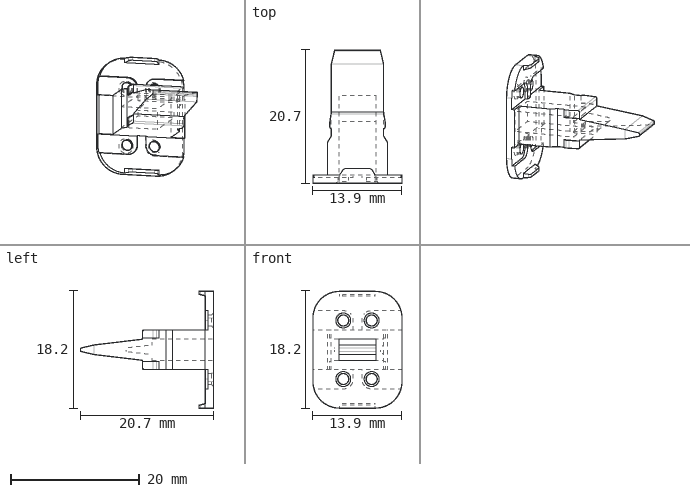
import cadquery as cq
import math


FLANGE_WIDTH = 13.9
FLANGE_HEIGHT = 18.2
FLANGE_THICKNESS = 1.3
FLANGE_CORNER_RADIUS = 4.18

POCKET_FLOOR_Y = 0.87
POCKET_RADIUS = 1.53

TAB_END_Y = 2.3
TAB_END_HALF_WIDTH = 2.13
TAB_CORNER_RADIUS = 0.62
TAB_ROOT_HEIGHT = 0.72
TAB_END_HEIGHT = 0.48

HOLE_DIAMETER = 1.68
COUNTERSINK_DIAMETER = 2.32
COUNTERSINK_ANGLE = 90
HOLE_SPACING_X = 4.4
HOLE_SPACING_Z = 9.1

BLOCK_WIDTH = 9.35
BLOCK_HEIGHT = 6.17
BLOCK_END_Y = 11.05
BLOCK_EDGE_RADIUS = 0.27
NECK_WIDTH = 8.15
SHOULDER_START_Y = 6.38
SHOULDER_END_Y = 7.37

RIDGE_RISE = 0.27
RIDGE_START_Y = 8.45
RIDGE_CREST_START_Y = 8.9
RIDGE_CREST_END_Y = 9.38
RIDGE_INNER_Z = 1.82

TONGUE_ROOT_HEIGHT = 3.31
TONGUE_BEVEL_Y = 18.55
TONGUE_BEVEL_HEIGHT = 1.53
TIP_Y = 20.7
TIP_WIDTH = 7.12
TIP_HEIGHT = 0.54
TIP_EDGE_RADIUS = 0.2

CAVITY_WIDTH = 5.8
CAVITY_HEIGHT = 3.27
CAVITY_SLOT_HEIGHT = 1.51
CAVITY_END_RADIUS = 0.31


def box_between(x, y, z):
    """Box spanning the (low, high) pair given for each axis."""
    size = [high - low for low, high in (x, y, z)]
    return cq.Workplane("XY").box(*size, centered=False).translate((x[0], y[0], z[0]))


def on_both_sides(solid, mirror_plane):
    return solid.union(solid.mirror(mirror_plane))


def make_flange():
    return (
        cq.Workplane("XY")
        .box(FLANGE_WIDTH, FLANGE_THICKNESS, FLANGE_HEIGHT)
        .translate((0, FLANGE_THICKNESS / 2, 0))
        .edges("|Y")
        .fillet(FLANGE_CORNER_RADIUS)
    )


def make_pockets():
    """Four pockets running from the block outwards, each rounded concentrically with its hole."""
    hole_x = HOLE_SPACING_X / 2
    hole_z = HOLE_SPACING_Z / 2
    inner_x = hole_x - POCKET_RADIUS
    outer_x = FLANGE_WIDTH / 2
    block_z = BLOCK_HEIGHT / 2
    diagonal = POCKET_RADIUS * math.sqrt(0.5)
    pocket = (
        cq.Workplane("XZ", origin=(0, POCKET_FLOOR_Y, 0))
        .moveTo(outer_x, block_z)
        .lineTo(inner_x, block_z)
        .lineTo(inner_x, hole_z)
        .threePointArc((hole_x - diagonal, hole_z + diagonal), (hole_x, hole_z + POCKET_RADIUS))
        .lineTo(outer_x, hole_z + POCKET_RADIUS)
        .close()
        .extrude(POCKET_FLOOR_Y - FLANGE_THICKNESS)
    )
    return on_both_sides(on_both_sides(pocket, "YZ"), "XY")


def make_tabs():
    """Trapezoidal tabs, flush with the flange edges and thinning towards their ends."""
    root_half_width = FLANGE_WIDTH / 2 - FLANGE_CORNER_RADIUS
    outer_z = FLANGE_HEIGHT / 2
    plan = (
        cq.Workplane("XY")
        .polyline([
            (-root_half_width, 0),
            (root_half_width, 0),
            (root_half_width, FLANGE_THICKNESS),
            (TAB_END_HALF_WIDTH, TAB_END_Y),
            (-TAB_END_HALF_WIDTH, TAB_END_Y),
            (-root_half_width, FLANGE_THICKNESS),
        ])
        .close()
        .extrude(outer_z)
    )
    plan = plan.edges("|Z and >Y").fillet(TAB_CORNER_RADIUS)
    section = (
        cq.Workplane("YZ")
        .polyline([
            (0, outer_z),
            (TAB_END_Y, outer_z),
            (TAB_END_Y, outer_z - TAB_END_HEIGHT),
            (FLANGE_THICKNESS, outer_z - TAB_ROOT_HEIGHT),
            (0, outer_z - TAB_ROOT_HEIGHT),
        ])
        .close()
        .extrude(root_half_width, both=True)
    )
    return on_both_sides(plan.intersect(section), "XY")


def make_ridges():
    """Four snap ridges: rounded towards the flange, a flat crest, a long slope towards the tip."""
    base_x = NECK_WIDTH / 2
    crest_x = base_x + RIDGE_RISE
    run = RIDGE_CREST_START_Y - RIDGE_START_Y
    radius = (RIDGE_RISE**2 + run**2) / (2 * RIDGE_RISE)
    half_run = run / 2
    arc_middle_x = crest_x - radius + math.sqrt(radius**2 - half_run**2)
    ridge = (
        cq.Workplane("XY", origin=(0, 0, RIDGE_INNER_Z))
        .moveTo(0, RIDGE_START_Y)
        .lineTo(base_x, RIDGE_START_Y)
        .threePointArc((arc_middle_x, RIDGE_CREST_START_Y - half_run), (crest_x, RIDGE_CREST_START_Y))
        .lineTo(crest_x, RIDGE_CREST_END_Y)
        .lineTo(base_x, BLOCK_END_Y)
        .lineTo(0, BLOCK_END_Y)
        .close()
        .extrude(BLOCK_HEIGHT / 2 - RIDGE_INNER_Z)
    )
    return on_both_sides(on_both_sides(ridge, "YZ"), "XY")


def make_block():
    wide_x = BLOCK_WIDTH / 2
    neck_x = NECK_WIDTH / 2
    body = (
        cq.Workplane("XY")
        .polyline([
            (-wide_x, 0),
            (wide_x, 0),
            (wide_x, SHOULDER_START_Y),
            (neck_x, SHOULDER_END_Y),
            (neck_x, BLOCK_END_Y),
            (-neck_x, BLOCK_END_Y),
            (-neck_x, SHOULDER_END_Y),
            (-wide_x, SHOULDER_START_Y),
        ])
        .close()
        .extrude(BLOCK_HEIGHT / 2, both=True)
    )
    rounded_bar = (
        box_between((-wide_x, wide_x), (0, BLOCK_END_Y), (-BLOCK_HEIGHT / 2, BLOCK_HEIGHT / 2))
        .edges("|X and >Y")
        .fillet(BLOCK_EDGE_RADIUS)
    )
    return body.union(make_ridges()).intersect(rounded_bar)


def make_tongue():
    """Wedge running back to the flange inside the block, bevelled at its tip."""
    root_z = TONGUE_ROOT_HEIGHT / 2
    bevel_z = TONGUE_BEVEL_HEIGHT / 2
    tip_z = TIP_HEIGHT / 2
    root_x = NECK_WIDTH / 2
    tip_x = TIP_WIDTH / 2
    side_profile = (
        cq.Workplane("YZ")
        .polyline([
            (0, -root_z),
            (BLOCK_END_Y, -root_z),
            (TONGUE_BEVEL_Y, -bevel_z),
            (TIP_Y, -tip_z),
            (TIP_Y, tip_z),
            (TONGUE_BEVEL_Y, bevel_z),
            (BLOCK_END_Y, root_z),
            (0, root_z),
        ])
        .close()
        .extrude(root_x, both=True)
        .edges("|X and >Y")
        .fillet(TIP_EDGE_RADIUS)
    )
    plan = (
        cq.Workplane("XY")
        .polyline([
            (-root_x, 0),
            (root_x, 0),
            (root_x, TONGUE_BEVEL_Y),
            (tip_x, TIP_Y),
            (-tip_x, TIP_Y),
            (-root_x, TONGUE_BEVEL_Y),
        ])
        .close()
        .extrude(root_z, both=True)
    )
    return side_profile.intersect(plan)


def make_cavity():
    """Box cavity narrowing by a step to a tapered slot with a round end."""
    box_z = CAVITY_HEIGHT / 2
    slot_z = CAVITY_SLOT_HEIGHT / 2
    box_end_y = BLOCK_END_Y - (BLOCK_HEIGHT - CAVITY_HEIGHT) / 2
    taper = math.atan2((TONGUE_ROOT_HEIGHT - TONGUE_BEVEL_HEIGHT) / 2, TONGUE_BEVEL_Y - BLOCK_END_Y)
    tangent_z = CAVITY_END_RADIUS * math.cos(taper)
    tangent_y = box_end_y + (slot_z - tangent_z) / math.tan(taper)
    end_y = tangent_y + CAVITY_END_RADIUS * (1 - math.sin(taper))
    return (
        cq.Workplane("YZ")
        .moveTo(0, -box_z)
        .lineTo(box_end_y, -box_z)
        .lineTo(box_end_y, -slot_z)
        .lineTo(tangent_y, -tangent_z)
        .threePointArc((end_y, 0), (tangent_y, tangent_z))
        .lineTo(box_end_y, slot_z)
        .lineTo(box_end_y, box_z)
        .lineTo(0, box_z)
        .close()
        .extrude(CAVITY_WIDTH / 2, both=True)
    )


flange = (
    make_flange()
    .cut(make_pockets())
    .faces("<Y")
    .workplane(origin=(0, 0, 0))
    .rarray(HOLE_SPACING_X, HOLE_SPACING_Z, 2, 2)
    .cskHole(HOLE_DIAMETER, COUNTERSINK_DIAMETER, COUNTERSINK_ANGLE)
)
outer_body = flange.union(make_tabs()).union(make_block()).union(make_tongue())
result = outer_body.cut(make_cavity())